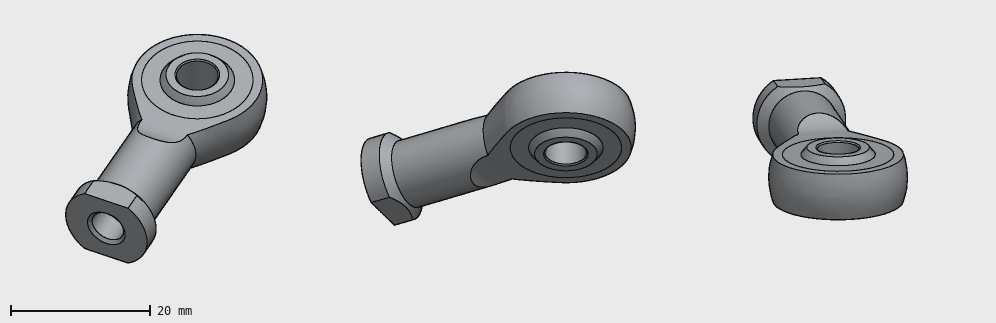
import cadquery as cq
import math


head_radius = 10.0
head_thickness = 6.9
shank_radius = 5.0
base_y = -30.0
neck_y = -10.8
blend_end_y = -15.1
collar_radius = 6.5
collar_length = 3.0
collar_cone_length = 1.2
collar_across_flats = 11.0

thread_radius = 2.5
thread_mouth_radius = 3.0
thread_depth = 12.0
drill_tip_angle = 118.0

race_radius = 8.0
ball_radius = 6.35
ball_width = 9.0
bore_radius = 3.0
bore_chamfer = 0.2

half_thickness = head_thickness / 2
collar_y = base_y + collar_length


def make_turned_blank():
    """Spherical head, tangent neck cone, shank and collar, revolved about Y."""
    neck_distance = math.hypot(shank_radius, neck_y)
    tangent_angle = math.atan2(neck_y, shank_radius) + math.acos(head_radius / neck_distance)
    tangent_point = (head_radius * math.cos(tangent_angle), head_radius * math.sin(tangent_angle))
    profile = (
        cq.Workplane("XY")
        .moveTo(0, base_y)
        .lineTo(collar_radius, base_y)
        .lineTo(collar_radius, collar_y)
        .lineTo(shank_radius, collar_y + collar_cone_length)
        .lineTo(shank_radius, neck_y)
        .lineTo(*tangent_point)
        .threePointArc((head_radius, 0), (0, head_radius))
        .close()
    )
    return profile.revolve(360, (0, 0, 0), (0, 1, 0))


def make_side_envelope():
    """Side outline in YZ: thin eye, concave blends to the shank, collar flats."""
    run = neck_y - blend_end_y
    rise = shank_radius - half_thickness
    blend_radius = (run**2 + rise**2) / (2 * rise)
    half_sweep = math.asin(run / blend_radius) / 2
    blend_mid_y = neck_y - blend_radius * math.sin(half_sweep)
    blend_mid_z = half_thickness + blend_radius * (1 - math.cos(half_sweep))
    half_flats = collar_across_flats / 2
    outline = (
        cq.Workplane("YZ")
        .moveTo(head_radius, half_thickness)
        .lineTo(neck_y, half_thickness)
        .threePointArc((blend_mid_y, blend_mid_z), (blend_end_y, shank_radius))
        .lineTo(blend_end_y, half_flats)
        .lineTo(base_y, half_flats)
        .lineTo(base_y, -half_flats)
        .lineTo(blend_end_y, -half_flats)
        .lineTo(blend_end_y, -shank_radius)
        .threePointArc((blend_mid_y, -blend_mid_z), (neck_y, -half_thickness))
        .lineTo(head_radius, -half_thickness)
        .close()
    )
    return outline.extrude(head_radius, both=True)


def make_thread_hole():
    """Blind hole with a 45 degree mouth chamfer and a drill-point bottom."""
    mouth_depth = thread_mouth_radius - thread_radius
    tip_length = thread_radius / math.tan(math.radians(drill_tip_angle / 2))
    hole_end_y = base_y + thread_depth
    profile = (
        cq.Workplane("XY")
        .moveTo(0, base_y)
        .lineTo(thread_mouth_radius, base_y)
        .lineTo(thread_radius, base_y + mouth_depth)
        .lineTo(thread_radius, hole_end_y)
        .lineTo(0, hole_end_y + tip_length)
        .close()
    )
    return profile.revolve(360, (0, 0, 0), (0, 1, 0))


def make_eye_disc():
    """Full disc that the race occupies inside the head."""
    return cq.Workplane("XY").circle(race_radius).extrude(half_thickness, both=True)


def make_housing():
    body = make_turned_blank().intersect(make_side_envelope())
    return body.cut(make_thread_hole()).cut(make_eye_disc())


def make_race():
    return make_eye_disc().cut(cq.Workplane("XY").sphere(ball_radius))


def make_ball():
    """Ball truncated by two flat faces, with a chamfered through bore."""
    half_width = ball_width / 2
    face_radius = math.sqrt(ball_radius**2 - half_width**2)
    chamfer_radius = bore_radius + bore_chamfer
    chamfer_z = half_width - bore_chamfer
    profile = (
        cq.Workplane("XZ")
        .moveTo(bore_radius, -chamfer_z)
        .lineTo(chamfer_radius, -half_width)
        .lineTo(face_radius, -half_width)
        .threePointArc((ball_radius, 0), (face_radius, half_width))
        .lineTo(chamfer_radius, half_width)
        .lineTo(bore_radius, chamfer_z)
        .close()
    )
    return profile.revolve(360, (0, 0, 0), (0, 1, 0))


housing = make_housing()
race = make_race()
ball = make_ball()

result = cq.Compound.makeCompound([housing.solids().val(), race.solids().val(), ball.val()])